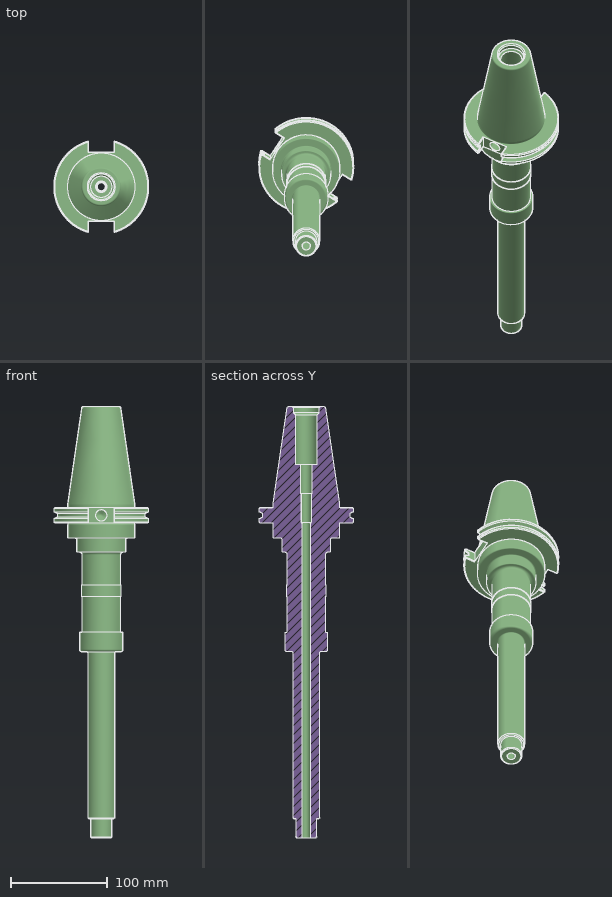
import cadquery as cq
import math

TOTAL_LENGTH = 446.7

SELECTION_MARGIN = 0.05

TAPER_LENGTH = 101.6
TAPER_RATE = 7 / 24
GAUGE_RADIUS = 69.85 / 2
SMALL_END_RADIUS = GAUGE_RADIUS - TAPER_LENGTH * TAPER_RATE / 2
SMALL_END_FILLET = 2.0

FLANGE_RADIUS = 98.425 / 2
FLANGE_TOP = TAPER_LENGTH + 3.2
FLANGE_BOTTOM = TAPER_LENGTH + 19.05
FLANGE_CHAMFER = 1.0
FLANGE_TOP_ROOT_FILLET = 0.6
GROOVE_CENTRE = TAPER_LENGTH + 11.0
GROOVE_DEPTH = 3.8
GROOVE_FLOOR_WIDTH = 3.3
GROOVE_FLANK_ANGLE = 27
GROOVE_MOUTH_WIDTH = GROOVE_FLOOR_WIDTH + 2 * GROOVE_DEPTH * math.tan(math.radians(GROOVE_FLANK_ANGLE))

UNDERCUT_DEPTH = 0.3
UNDERCUT_FLOOR_WIDTH = 1.0
UNDERCUT_WIDTH = 2.2

SLOT_WIDTH = 26.4
SLOT_FLOOR_DISTANCE = 35.8
SLOT_EDGE_CHAMFER = 0.77

DIMPLE_DIAMETER = 11.7
DIMPLE_LEVEL = (FLANGE_TOP + FLANGE_BOTTOM) / 2
DIMPLE_DEPTH = 9.0
DRILL_POINT_ANGLE = 130

BODY_BOTTOM = 136.4
BODY_EDGE_FILLET = 1.2
NECK_RADIUS = 51 / 2
NECK_BOTTOM = 150.8
NECK_EDGE_FILLET = 1.0
NECK_ROOT_FILLET = 1.2
SLEEVE_RADIUS = 40 / 2
SLEEVE_ROOT_FILLET = 3.0
BAND_RADIUS = 41 / 2
BAND_TOP = 184.8
BAND_BOTTOM = 196.8
COLLAR_RADIUS = 45 / 2
COLLAR_TOP = 233.5
COLLAR_BOTTOM = 254.0
COLLAR_TOP_FILLET = 0.8
COLLAR_BOTTOM_FILLET = 2.4
SHAFT_RADIUS = 28 / 2
SHAFT_ROOT_FILLET = 1.0
SHAFT_BOTTOM = 427.0
SHAFT_CHAMFER = 1.2
TIP_RADIUS = 22 / 2
TIP_CHAMFER = 1.0

MOUTH_RADIUS = 29 / 2
COUNTERBORE_RADIUS = 26.4 / 2
MOUTH_CHAMFER = MOUTH_RADIUS - COUNTERBORE_RADIUS
COUNTERBORE_DEPTH = 6.4
BORE_RADIUS = 21.96 / 2
BORE_LEAD_IN = COUNTERBORE_RADIUS - BORE_RADIUS
BORE_DEPTH = 60.0
STEP_RADIUS = 11.7 / 2
STEP_DEPTH = 90.0
COOLANT_RADIUS = 10 / 2
COOLANT_DEPTH = 120.0
THROUGH_RADIUS = 8.35 / 2


def revolve_profile(points):
    """Revolve (radius, distance below the small end) points about Z."""
    outline = [(radius, -level) for radius, level in points]
    return cq.Workplane("XZ").polyline(outline).close().revolve(360, (0, 0, 0), (0, 1, 0))


def slab_around(reach, level, margin):
    """Selector for edges lying within reach of the axis and within margin of the level."""
    return cq.selectors.BoxSelector(
        (-reach, -reach, -level - margin), (reach, reach, -level + margin), boundingbox=True
    )


def round_circle(solid, radius, level, fillet):
    """Fillet the circular edge of the given radius at the given level."""
    within = slab_around(radius + SELECTION_MARGIN, level, SELECTION_MARGIN)
    smaller = slab_around(radius - SELECTION_MARGIN, level, SELECTION_MARGIN)
    return solid.edges(within - smaller).fillet(fillet)


def make_body():
    groove_floor_radius = FLANGE_RADIUS - GROOVE_DEPTH
    flange_points = [
        (GAUGE_RADIUS, FLANGE_TOP),
        (FLANGE_RADIUS - FLANGE_CHAMFER, FLANGE_TOP),
        (FLANGE_RADIUS, FLANGE_TOP + FLANGE_CHAMFER),
        (FLANGE_RADIUS, GROOVE_CENTRE - GROOVE_MOUTH_WIDTH / 2),
        (groove_floor_radius, GROOVE_CENTRE - GROOVE_FLOOR_WIDTH / 2),
        (groove_floor_radius, GROOVE_CENTRE + GROOVE_FLOOR_WIDTH / 2),
        (FLANGE_RADIUS, GROOVE_CENTRE + GROOVE_MOUTH_WIDTH / 2),
        (FLANGE_RADIUS, FLANGE_BOTTOM - FLANGE_CHAMFER),
        (FLANGE_RADIUS - FLANGE_CHAMFER, FLANGE_BOTTOM),
        (GAUGE_RADIUS - UNDERCUT_DEPTH, FLANGE_BOTTOM),
    ]
    body = revolve_profile([
        (0, 0),
        (SMALL_END_RADIUS, 0),
        (GAUGE_RADIUS, TAPER_LENGTH),
        *flange_points,
        (GAUGE_RADIUS - UNDERCUT_DEPTH, FLANGE_BOTTOM + UNDERCUT_FLOOR_WIDTH),
        (GAUGE_RADIUS, FLANGE_BOTTOM + UNDERCUT_WIDTH),
        (GAUGE_RADIUS, BODY_BOTTOM),
        (NECK_RADIUS, BODY_BOTTOM),
        (NECK_RADIUS, NECK_BOTTOM),
        (SLEEVE_RADIUS, NECK_BOTTOM),
        (SLEEVE_RADIUS, BAND_TOP),
        (BAND_RADIUS, BAND_TOP),
        (BAND_RADIUS, BAND_BOTTOM),
        (SLEEVE_RADIUS, BAND_BOTTOM),
        (SLEEVE_RADIUS, COLLAR_TOP),
        (COLLAR_RADIUS, COLLAR_TOP),
        (COLLAR_RADIUS, COLLAR_BOTTOM),
        (SHAFT_RADIUS, COLLAR_BOTTOM),
        (SHAFT_RADIUS, SHAFT_BOTTOM - SHAFT_CHAMFER),
        (SHAFT_RADIUS - SHAFT_CHAMFER, SHAFT_BOTTOM),
        (TIP_RADIUS, SHAFT_BOTTOM),
        (TIP_RADIUS, TOTAL_LENGTH - TIP_CHAMFER),
        (TIP_RADIUS - TIP_CHAMFER, TOTAL_LENGTH),
        (0, TOTAL_LENGTH),
    ])
    rounded_circles = [
        (SMALL_END_RADIUS, 0, SMALL_END_FILLET),
        (GAUGE_RADIUS, FLANGE_TOP, FLANGE_TOP_ROOT_FILLET),
        (GAUGE_RADIUS, BODY_BOTTOM, BODY_EDGE_FILLET),
        (NECK_RADIUS, BODY_BOTTOM, NECK_ROOT_FILLET),
        (NECK_RADIUS, NECK_BOTTOM, NECK_EDGE_FILLET),
        (SLEEVE_RADIUS, NECK_BOTTOM, SLEEVE_ROOT_FILLET),
        (COLLAR_RADIUS, COLLAR_TOP, COLLAR_TOP_FILLET),
        (COLLAR_RADIUS, COLLAR_BOTTOM, COLLAR_BOTTOM_FILLET),
        (SHAFT_RADIUS, COLLAR_BOTTOM, SHAFT_ROOT_FILLET),
    ]
    for radius, level, fillet in rounded_circles:
        body = round_circle(body, radius, level, fillet)
    return body


def make_bore():
    return revolve_profile([
        (0, 0),
        (MOUTH_RADIUS, 0),
        (COUNTERBORE_RADIUS, MOUTH_CHAMFER),
        (COUNTERBORE_RADIUS, COUNTERBORE_DEPTH),
        (BORE_RADIUS, COUNTERBORE_DEPTH + BORE_LEAD_IN),
        (BORE_RADIUS, BORE_DEPTH),
        (STEP_RADIUS, BORE_DEPTH),
        (STEP_RADIUS, STEP_DEPTH),
        (COOLANT_RADIUS, STEP_DEPTH),
        (COOLANT_RADIUS, COOLANT_DEPTH),
        (THROUGH_RADIUS, COOLANT_DEPTH),
        (THROUGH_RADIUS, TOTAL_LENGTH),
        (0, TOTAL_LENGTH),
    ])


def is_slot_wall_rim(edge):
    """True for an edge where a slot wall meets the outside of the flange."""
    box = edge.BoundingBox()
    farthest_y = max(abs(box.ymin), abs(box.ymax))
    on_wall = box.xlen < SELECTION_MARGIN and abs(abs(box.center.x) - SLOT_WIDTH / 2) < SELECTION_MARGIN
    return on_wall and farthest_y > SLOT_FLOOR_DISTANCE + SELECTION_MARGIN


def make_drive_slot(side):
    """Open slot across the flange rim; side is +1 for +Y and -1 for -Y."""
    radial_length = FLANGE_RADIUS - SLOT_FLOOR_DISTANCE
    return cq.Workplane("XY").box(SLOT_WIDTH, radial_length, FLANGE_BOTTOM - FLANGE_TOP).translate(
        (0, side * (SLOT_FLOOR_DISTANCE + radial_length / 2), -(FLANGE_TOP + FLANGE_BOTTOM) / 2)
    )


def make_dimple():
    """Drilled hole with a conical end, entering from -Y."""
    radius = DIMPLE_DIAMETER / 2
    point_length = radius / math.tan(math.radians(DRILL_POINT_ANGLE / 2))
    entry_y = -SLOT_FLOOR_DISTANCE
    end_y = entry_y + DIMPLE_DEPTH
    outline = [(0, entry_y), (radius, entry_y), (radius, end_y), (0, end_y + point_length)]
    drill = cq.Workplane("XY").polyline(outline).close().revolve(360, (0, 0, 0), (0, 1, 0))
    return drill.translate((0, 0, -DIMPLE_LEVEL))


result = make_body().cut(make_bore())
for slot_side in (1, -1):
    result = result.cut(make_drive_slot(slot_side))
slot_edges = [edge for edge in result.edges().vals() if is_slot_wall_rim(edge)]
result = result.newObject(slot_edges).chamfer(SLOT_EDGE_CHAMFER)
result = result.cut(make_dimple())